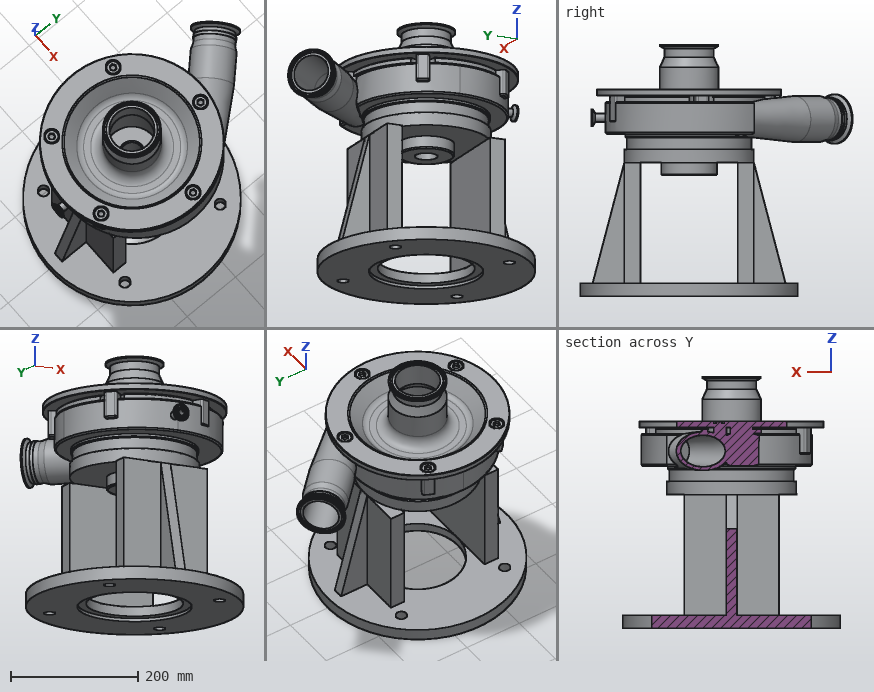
import cadquery as cq
import math

BASE_DIAMETER = 343.0
BASE_RADIUS = BASE_DIAMETER / 2
BASE_THICKNESS = 20.5
BASE_BORE_RADIUS = 76.5
BASE_RECESS_RADIUS = 90.0
BASE_RECESS_DEPTH = 5.0
BASE_BOLT_CIRCLE = 139.5
BASE_BOLT_RADIUS = 9.0
BASE_BOLT_COUNT = 4
BASE_BOLT_FIRST_ANGLE = 45

LEG_TOP = 210.5
LEG_WIDTH = 150.0
LEG_OUTER_Y = 102.0
LEG_INNER_Y = BASE_BORE_RADIUS
GUSSET_FOOT_Y = 152.0
GUSSET_THICKNESS = 17.5

HUB_BOTTOM = 190.2
HUB_RADIUS = 44.2
HUB_CHAMFER = 2.0
RING_RADIUS = LEG_OUTER_Y
RING_TOP = 231.5
NECK_RADIUS = 98.5
NECK_TOP = 250.0
COLLAR_RADIUS = 101.0
COLLAR_CHAMFER = 1.7

CASING_BOTTOM = 255.5
CASING_TOP = 306.5
CASING_EDGE = 2.5
LEFT_REACH = 126.5
START_RADIUS = 123.0
MIDDLE_RADIUS = 132.0
THROAT_RADIUS = 137.5
TONGUE_CORNER = (38.5, 98.8)
SHOULDER_RADIUS = 125.5
SHOULDER_TOP = 313.5
SPIGOT_RADIUS = 121.0

COVER_RADIUS = 145.0
COVER_BOTTOM = 316.0
COVER_TOP = 326.5
COVER_CHAMFER = 1.0
BOWL_RIM_RADIUS = 110.0
BOWL_CONE_RADIUS = 107.0
BOWL_CONE_ANGLE = 45
BOWL_RIM_DROP = 1.5
BOWL_CONE_FOOT = 87.0
BOWL_FLAT_OUTER = 76.5
BOWL_FLAT_INNER = 65.3

TOP = 396.5
INLET_RADIUS = 46.5
INLET_FLANGE_RADIUS = 46.0
INLET_NECK_RADIUS = 39.0
INLET_CONE_BOTTOM = 360.5
INLET_CONE_TOP = 376.5
INLET_BORE_RADIUS = 35.5
INLET_BORE_END = 357.0
CHAMBER_RADIUS = 43.5
CHAMBER_TOP = 343.5
CHAMBER_FLOOR = 266.2
SHAFT_BORE_RADIUS = 18.0
SHAFT_BORE_CHAMFER = 2.0

FLANGE_RIM = 2.5
FLANGE_TAPER = 4.0
GROOVE_DEPTH = 1.5
GROOVE_WIDTH = 3.0
GROOVE_MARGIN = 2.5

OUTLET_OFFSET = 115.5
OUTLET_TURN = 45
OUTLET_Z = 279.0
OUTLET_LENGTH = 210.0
OUTLET_FLANGE_RADIUS = 39.0
OUTLET_NECK_RADIUS = 33.5
OUTLET_COLLAR_RADIUS = 32.5
OUTLET_RADIUS = 36.5
OUTLET_BORE_RADIUS = 28.8
OUTLET_BEAD_RADIUS = 34.5
OUTLET_BEAD_END = 191.5
OUTLET_COLLAR_END = 197.0
OUTLET_NECK_END = 183.5
OUTLET_CONE_END = 172.5
OUTLET_TAPER_START = 118.5
THROAT_OUTER_RADIUS = 27.0
THROAT_BORE_RADIUS = 21.5

PORT_Z = 281.3
PORT_FACE_Y = -154.0
PORT_TUBE_RADIUS = 7.0
PORT_FLANGE_RADIUS = 13.5
PORT_BORE_RADIUS = 5.0
PORT_ROOT_Y = -107.5

SCREW_COUNT = 5
SCREW_FIRST_ANGLE = 9.0
SCREW_ANGLES = [SCREW_FIRST_ANGLE + i * 360 / SCREW_COUNT for i in range(SCREW_COUNT)]
SCREW_CIRCLE = 126.5
SCREW_RECESS_RADIUS = 12.0
SCREW_RECESS_DEPTH = 3.5
SCREW_HEAD_RADIUS = 10.5
SCREW_HEAD_GAP = 1.0
SOCKET_ACROSS_CORNERS = 11.0
SOCKET_DEPTH = 5.0
SOCKET_TIP_RADIUS = 4.7
SOCKET_TIP_DEPTH = 2.5
LUG_WIDTH = 20.5
LUG_OUTER = 136.0
LUG_INNER = 111.5
LUG_BOTTOM = 274.0
LUG_FILLET = 3.5
LUG_CHAMFER = 2.5
LUG_CLEARANCE = 19.8


def cylinder(radius, bottom, top):
    return cq.Workplane("XY").workplane(offset=bottom).circle(radius).extrude(top - bottom)


def turned(points):
    """Solid of revolution about Z from (radius, height) points."""
    return cq.Workplane("XZ").polyline(points).close().revolve(360, (0, 0, 0), (0, 1, 0))


def face_groove(flange_radius, face):
    """Shallow gasket groove in a flange face at the given height."""
    outer = flange_radius - GROOVE_MARGIN
    bottom = face - GROOVE_DEPTH
    return cylinder(outer, bottom, face).cut(cylinder(outer - GROOVE_WIDTH, bottom, face))


def make_base():
    plate = cylinder(BASE_RADIUS, 0, BASE_THICKNESS)
    bolts = (
        cq.Workplane("XY")
        .polarArray(BASE_BOLT_CIRCLE, BASE_BOLT_FIRST_ANGLE, 360, BASE_BOLT_COUNT)
        .circle(BASE_BOLT_RADIUS)
        .extrude(BASE_THICKNESS)
    )
    bore = cylinder(BASE_BORE_RADIUS, 0, BASE_THICKNESS)
    recess = cylinder(BASE_RECESS_RADIUS, 0, BASE_RECESS_DEPTH)
    return plate.cut(bore).cut(recess).cut(bolts)


def make_leg():
    """Leg on the -Y side with its tapered gusset."""
    height = LEG_TOP - BASE_THICKNESS
    depth = LEG_OUTER_Y - LEG_INNER_Y
    slab = cq.Workplane("XY").box(LEG_WIDTH, depth, height, centered=(True, False, False))
    slab = slab.translate((0, -LEG_OUTER_Y, BASE_THICKNESS))
    gusset = (
        cq.Workplane("YZ")
        .polyline([
            (-LEG_OUTER_Y, BASE_THICKNESS),
            (-GUSSET_FOOT_Y, BASE_THICKNESS),
            (-LEG_OUTER_Y, LEG_TOP),
        ])
        .close()
        .extrude(GUSSET_THICKNESS / 2, both=True)
    )
    return slab.union(gusset)


def make_bearing_housing():
    collar = cylinder(COLLAR_RADIUS, NECK_TOP, CASING_BOTTOM).faces("<Z").chamfer(COLLAR_CHAMFER)
    hub = cylinder(HUB_RADIUS, HUB_BOTTOM, LEG_TOP).faces("<Z").chamfer(HUB_CHAMFER)
    return (
        hub.union(cylinder(RING_RADIUS, LEG_TOP, RING_TOP))
        .union(cylinder(NECK_RADIUS, RING_TOP, NECK_TOP))
        .union(collar)
    )


def arc_point(center, radius, degrees):
    angle = math.radians(degrees)
    return (center[0] + radius * math.cos(angle), center[1] + radius * math.sin(angle))


def make_casing():
    """Volute of three tangent arcs whose radius grows towards the throat."""
    start_center = (START_RADIUS - LEFT_REACH, 0)
    middle_center = (MIDDLE_RADIUS - LEFT_REACH, 0)
    throat_center = (middle_center[0], THROAT_RADIUS - MIDDLE_RADIUS)
    volute = (
        cq.Workplane("XY")
        .workplane(offset=CASING_BOTTOM)
        .moveTo(*arc_point(start_center, START_RADIUS, 90))
        .threePointArc(arc_point(start_center, START_RADIUS, 135), (-LEFT_REACH, 0))
        .threePointArc(
            arc_point(middle_center, MIDDLE_RADIUS, 225),
            arc_point(middle_center, MIDDLE_RADIUS, 270),
        )
        .threePointArc(
            arc_point(throat_center, THROAT_RADIUS, 340),
            arc_point(throat_center, THROAT_RADIUS, 45),
        )
        .lineTo(*TONGUE_CORNER)
        .close()
        .extrude(CASING_TOP - CASING_BOTTOM)
        .faces("<Z or >Z")
        .chamfer(CASING_EDGE)
    )
    shoulder = cylinder(SHOULDER_RADIUS, CASING_TOP, SHOULDER_TOP)
    spigot = cylinder(SPIGOT_RADIUS, SHOULDER_TOP, COVER_BOTTOM)
    seat = shoulder.union(spigot)
    for angle in SCREW_ANGLES:
        clearance = cylinder(LUG_CLEARANCE, CASING_TOP, COVER_BOTTOM).translate((SCREW_CIRCLE, 0, 0))
        seat = seat.cut(clearance.rotate((0, 0, 0), (0, 0, 1), angle))
    return volute.union(seat)


def make_cover():
    return cylinder(COVER_RADIUS, COVER_BOTTOM, COVER_TOP).edges().chamfer(COVER_CHAMFER)


def make_bowl():
    """Recess in the cover: a cone, rounded into a flat floor and into the inlet tube."""
    cone_top = COVER_TOP - BOWL_RIM_DROP
    cone_angle = math.radians(BOWL_CONE_ANGLE)
    cone_foot = cone_top - (BOWL_CONE_RADIUS - BOWL_CONE_FOOT) * math.tan(cone_angle)
    foot_radius = (BOWL_CONE_FOOT - BOWL_FLAT_OUTER) / math.sin(cone_angle)
    floor = cone_foot - foot_radius * (1 - math.cos(cone_angle))
    root_radius = BOWL_FLAT_INNER - INLET_RADIUS
    foot_mid = arc_point((BOWL_FLAT_OUTER, floor + foot_radius), foot_radius, BOWL_CONE_ANGLE / 2 - 90)
    root_mid = arc_point((BOWL_FLAT_INNER, floor + root_radius), root_radius, 225)
    return (
        cq.Workplane("XZ")
        .moveTo(INLET_RADIUS, COVER_TOP)
        .lineTo(BOWL_RIM_RADIUS, COVER_TOP)
        .lineTo(BOWL_CONE_RADIUS, cone_top)
        .lineTo(BOWL_CONE_FOOT, cone_foot)
        .threePointArc(foot_mid, (BOWL_FLAT_OUTER, floor))
        .lineTo(BOWL_FLAT_INNER, floor)
        .threePointArc(root_mid, (INLET_RADIUS, floor + root_radius))
        .close()
        .revolve(360, (0, 0, 0), (0, 1, 0))
    )


def make_inlet():
    tube = turned([
        (0, COVER_BOTTOM),
        (INLET_RADIUS, COVER_BOTTOM),
        (INLET_RADIUS, INLET_CONE_BOTTOM),
        (INLET_NECK_RADIUS, INLET_CONE_TOP),
        (INLET_NECK_RADIUS, TOP - FLANGE_RIM - FLANGE_TAPER),
        (INLET_FLANGE_RADIUS, TOP - FLANGE_RIM),
        (INLET_FLANGE_RADIUS, TOP),
        (0, TOP),
    ])
    return tube.cut(face_groove(INLET_FLANGE_RADIUS, TOP))


def make_inlet_bore():
    return turned([
        (0, HUB_BOTTOM),
        (SHAFT_BORE_RADIUS, HUB_BOTTOM),
        (SHAFT_BORE_RADIUS, CHAMBER_FLOOR - SHAFT_BORE_CHAMFER),
        (SHAFT_BORE_RADIUS + SHAFT_BORE_CHAMFER, CHAMBER_FLOOR),
        (CHAMBER_RADIUS, CHAMBER_FLOOR),
        (CHAMBER_RADIUS, CHAMBER_TOP),
        (INLET_BORE_RADIUS, INLET_BORE_END),
        (INLET_BORE_RADIUS, TOP),
        (0, TOP),
    ])


def place_outlet(body):
    """Lay a body built along Z onto the outlet pipe axis."""
    x, y = arc_point((0, 0), OUTLET_OFFSET, OUTLET_TURN)
    return (
        body.rotate((0, 0, 0), (1, 0, 0), -90)
        .rotate((0, 0, 0), (0, 0, 1), OUTLET_TURN)
        .translate((x, y, OUTLET_Z))
    )


def make_outlet():
    face = OUTLET_LENGTH
    pipe = turned([
        (0, 0),
        (THROAT_OUTER_RADIUS, 0),
        (OUTLET_RADIUS, OUTLET_TAPER_START),
        (OUTLET_RADIUS, OUTLET_CONE_END),
        (OUTLET_NECK_RADIUS, OUTLET_NECK_END),
        (OUTLET_NECK_RADIUS, OUTLET_BEAD_END),
        (OUTLET_BEAD_RADIUS, OUTLET_BEAD_END),
        (OUTLET_BEAD_RADIUS, OUTLET_COLLAR_END),
        (OUTLET_COLLAR_RADIUS, OUTLET_COLLAR_END),
        (OUTLET_COLLAR_RADIUS, face - FLANGE_RIM - FLANGE_TAPER),
        (OUTLET_FLANGE_RADIUS, face - FLANGE_RIM),
        (OUTLET_FLANGE_RADIUS, face),
        (0, face),
    ])
    groove = face_groove(OUTLET_FLANGE_RADIUS, face)
    return place_outlet(pipe.cut(groove))


def make_outlet_bore():
    return place_outlet(turned([
        (0, 0),
        (THROAT_BORE_RADIUS, 0),
        (OUTLET_BORE_RADIUS, OUTLET_TAPER_START),
        (OUTLET_BORE_RADIUS, OUTLET_LENGTH),
        (0, OUTLET_LENGTH),
    ]))


def make_port():
    length = PORT_ROOT_Y - PORT_FACE_Y
    port = turned([
        (0, 0),
        (PORT_TUBE_RADIUS, 0),
        (PORT_TUBE_RADIUS, length - FLANGE_RIM - FLANGE_TAPER),
        (PORT_FLANGE_RADIUS, length - FLANGE_RIM),
        (PORT_FLANGE_RADIUS, length),
        (0, length),
    ])
    port = port.cut(face_groove(PORT_FLANGE_RADIUS, length))
    return port.rotate((0, 0, 0), (1, 0, 0), 90).translate((0, PORT_ROOT_Y, PORT_Z))


def make_port_bore():
    length = PORT_ROOT_Y - PORT_FACE_Y
    bore = cylinder(PORT_BORE_RADIUS, 0, length)
    return bore.rotate((0, 0, 0), (1, 0, 0), 90).translate((0, PORT_ROOT_Y, PORT_Z))


def make_lug():
    return (
        cq.Workplane("XY")
        .box(LUG_OUTER - LUG_INNER, LUG_WIDTH, COVER_BOTTOM - LUG_BOTTOM, centered=(False, True, False))
        .translate((LUG_INNER, 0, LUG_BOTTOM))
        .edges("|Z and >X")
        .fillet(LUG_FILLET)
        .faces("<Z")
        .chamfer(LUG_CHAMFER)
    )


def make_screw_recess():
    """Annular gap around a screw head plus its hexagon socket with a conical bottom."""
    floor = COVER_TOP - SCREW_RECESS_DEPTH
    socket_floor = COVER_TOP - SOCKET_DEPTH
    head = cylinder(SCREW_HEAD_RADIUS, floor, COVER_TOP - SCREW_HEAD_GAP)
    socket = (
        cq.Workplane("XY")
        .workplane(offset=socket_floor)
        .polygon(6, SOCKET_ACROSS_CORNERS)
        .extrude(SOCKET_DEPTH)
    )
    tip = turned([(0, socket_floor), (SOCKET_TIP_RADIUS, socket_floor), (0, socket_floor - SOCKET_TIP_DEPTH)])
    recess = cylinder(SCREW_RECESS_RADIUS, floor, COVER_TOP).cut(head).union(socket).union(tip)
    return recess.translate((SCREW_CIRCLE, 0, 0))


leg = make_leg()

result = make_base().union(leg).union(leg.mirror("XZ"))
result = result.union(make_bearing_housing()).union(make_casing())
result = result.union(make_cover()).union(make_outlet()).union(make_port())
result = result.cut(make_bowl()).union(make_inlet())

for angle in SCREW_ANGLES:
    result = result.union(make_lug().rotate((0, 0, 0), (0, 0, 1), angle))
    result = result.cut(make_screw_recess().rotate((0, 0, 0), (0, 0, 1), angle))

result = result.cut(make_inlet_bore()).cut(make_outlet_bore()).cut(make_port_bore())